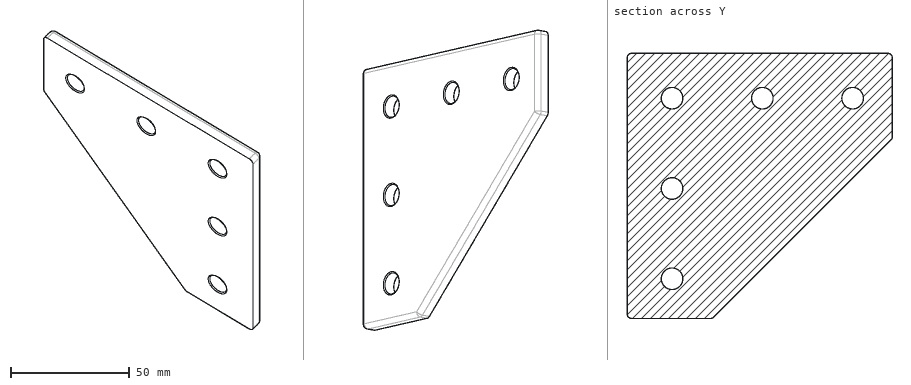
import cadquery as cq

side_length = 112.0
thickness = 6.0
short_edge = 36.0
corner_radius = 2.0
edge_radius = 2.0

hole_diameter = 9.0
hole_chamfer = 0.5
hole_pitch = 38.1
hole_inset = 19.0
holes_per_leg = 3

half_side = side_length / 2
front_y = -thickness / 2
back_y = thickness / 2


def make_plate():
    """Square plate with its lower left corner cut off diagonally."""
    outline = [
        (-half_side, half_side),
        (half_side, half_side),
        (half_side, -half_side),
        (half_side - short_edge, -half_side),
        (-half_side, half_side - short_edge),
    ]
    plate = (
        cq.Workplane("XZ", origin=(0, back_y, 0))
        .polyline(outline)
        .close()
        .extrude(thickness)
    )
    plate = plate.edges("|Y").fillet(corner_radius)
    return plate.faces(">Y").edges().fillet(edge_radius)


def hole_centers():
    """Centers (X, Z) of the holes along the top and right legs, sharing the corner hole."""
    corner = half_side - hole_inset
    steps = [i * hole_pitch for i in range(holes_per_leg)]
    top_leg = [(corner - step, corner) for step in steps]
    right_leg = [(corner, corner - step) for step in steps[1:]]
    return top_leg + right_leg


def make_hole_cutter(x, z):
    """Through hole along Y with both mouths chamfered."""
    hole_radius = hole_diameter / 2
    mouth_radius = hole_radius + hole_chamfer
    profile = [
        (0, front_y),
        (mouth_radius, front_y),
        (hole_radius, front_y + hole_chamfer),
        (hole_radius, back_y - hole_chamfer),
        (mouth_radius, back_y),
        (0, back_y),
    ]
    cutter = cq.Workplane("XY").polyline(profile).close().revolve(360, (0, 0, 0), (0, 1, 0))
    return cutter.translate((x, 0, z))


result = make_plate()
for center_x, center_z in hole_centers():
    result = result.cut(make_hole_cutter(center_x, center_z))